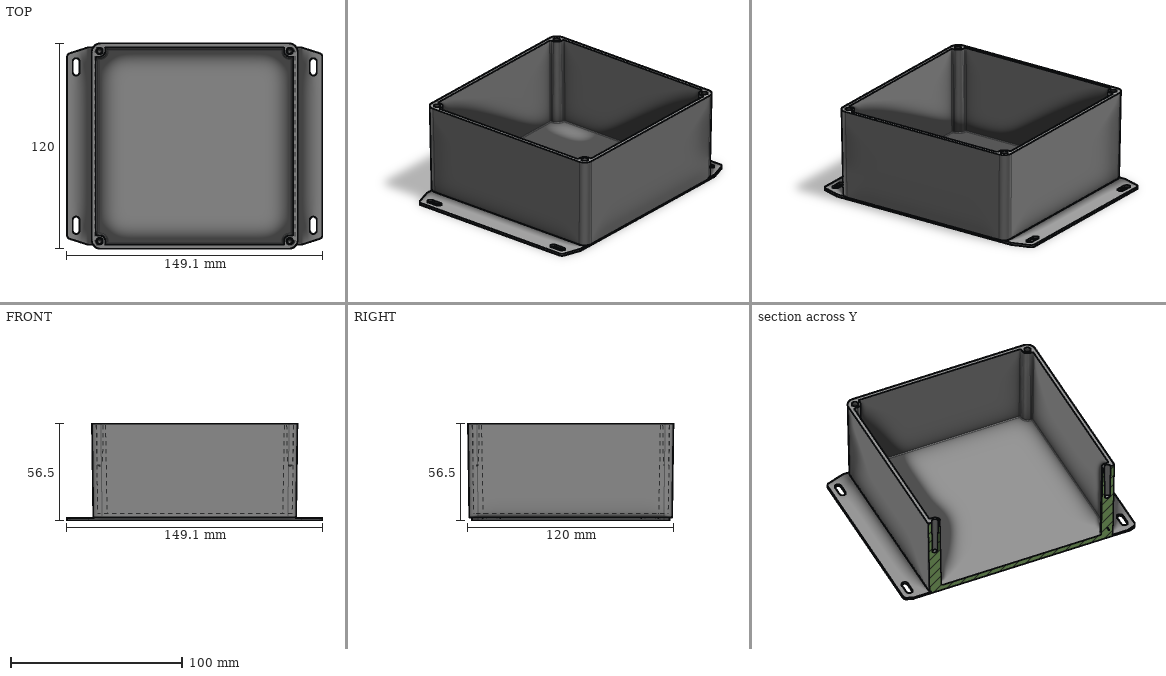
import cadquery as cq
import math

total_length = 149.1
box_width = 120.0
total_height = 56.5

plate_thickness = 1.5
plate_width = 115.4
plate_shoulder_x = 62.0
plate_end_width = 107.4
plate_corner_radius = 2.4
slot_length = 10.0
slot_width = 3.9
slot_x = 69.2
slot_y = 46.2

outer_draft = 0.8
inner_draft = 1.0
wall = 2.4
floor_thickness = 2.7
outer_corner_radius = 5.0
bottom_edge_radius = 0.9
floor_fillet_radius = 0.6

screw_offset = 55.5
screw_hole_diameter = 3.9
screw_hole_depth = 23.9
screw_tip_angle = 118.0
boss_radius = 3.3
boss_root_radius = 0.7

box_height = total_height - plate_thickness
cavity_width = box_width - 2 * wall
cavity_depth = box_height - floor_thickness
boss_line = screw_offset - boss_radius
corner_signs = [(sx, sy) for sx in (-1, 1) for sy in (-1, 1)]


def make_plate():
    """Flat plate whose ends narrow towards rounded outer corners."""
    half_length = total_length / 2
    half_width = plate_width / 2
    half_end = plate_end_width / 2
    outline = [
        (-plate_shoulder_x, half_width),
        (plate_shoulder_x, half_width),
        (half_length, half_end),
        (half_length, -half_end),
        (plate_shoulder_x, -half_width),
        (-plate_shoulder_x, -half_width),
        (-half_length, -half_end),
        (-half_length, half_end),
    ]
    plate = cq.Workplane("XY").polyline(outline).close().extrude(plate_thickness)
    plate = plate.edges("|Z and (<X or >X)").fillet(plate_corner_radius)
    slot_centers = [(sx * slot_x, sy * slot_y) for sx, sy in corner_signs]
    slots = (
        cq.Workplane("XY")
        .pushPoints(slot_centers)
        .slot2D(slot_length, slot_width, 90)
        .extrude(plate_thickness)
    )
    return plate.cut(slots)


def make_shell():
    """Outside of the box: widest at the rim, drafted inwards towards the bottom."""
    shell = cq.Workplane("XY", origin=(0, 0, total_height)).rect(box_width, box_width)
    shell = shell.extrude(-box_height, taper=outer_draft)
    shell = shell.edges("not #Z").fillet(outer_corner_radius)
    return shell.faces("<Z").edges().fillet(bottom_edge_radius)


def make_boss(sign_x, sign_y):
    """Corner post with a rounded inside corner, thickening towards the floor."""
    reach = box_width / 2 + boss_radius - boss_line
    center = boss_line + reach / 2
    outline = cq.Sketch().rect(reach, reach).vertices().fillet(boss_radius)
    rim_center = (sign_x * center, sign_y * center, total_height)
    return (
        cq.Workplane("XY", origin=rim_center)
        .placeSketch(outline)
        .extrude(-cavity_depth, taper=-inner_draft)
    )


def make_cavity():
    """Drafted inside space with the corner posts left standing."""
    wall_line = cavity_width / 2
    cavity = cq.Workplane("XY", origin=(0, 0, total_height)).rect(cavity_width, cavity_width)
    cavity = cavity.extrude(-cavity_depth, taper=inner_draft)
    for sign_x, sign_y in corner_signs:
        cavity = cavity.cut(make_boss(sign_x, sign_y))
    for sign_x, sign_y in corner_signs:
        for root_x, root_y in [(wall_line, boss_line), (boss_line, wall_line)]:
            root = (sign_x * root_x, sign_y * root_y, total_height - cavity_depth / 2)
            root_edge = cq.selectors.NearestToPointSelector(root)
            cavity = cavity.edges("not #Z").edges(root_edge).fillet(boss_root_radius)
    return cavity.faces("<Z").edges().fillet(floor_fillet_radius)


def make_screw_holes():
    """Drafted screw holes, each ending in a conical tip."""
    rim_radius = screw_hole_diameter / 2
    end_radius = rim_radius - screw_hole_depth * math.tan(math.radians(inner_draft))
    tip_length = end_radius / math.tan(math.radians(screw_tip_angle / 2))
    hole_end = total_height - screw_hole_depth
    profile = [
        (0, total_height),
        (rim_radius, total_height),
        (end_radius, hole_end),
        (0, hole_end - tip_length),
    ]
    hole = cq.Workplane("XZ").polyline(profile).close().revolve(360, (0, 0), (0, 1))
    holes = cq.Workplane("XY")
    for sign_x, sign_y in corner_signs:
        holes = holes.add(hole.translate((sign_x * screw_offset, sign_y * screw_offset, 0)))
    return holes.combine()


box = make_shell().cut(make_cavity()).cut(make_screw_holes())
result = box.union(make_plate())